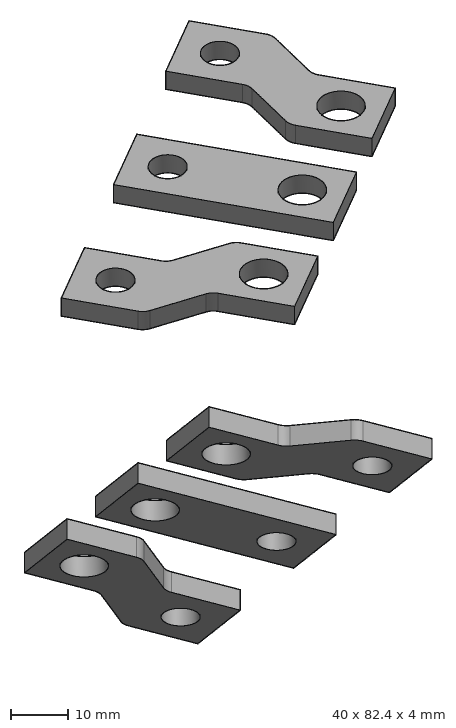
import cadquery as cq

overall_span = 82.4
link_length = 40.0
link_width = 15.0
thickness = 4.0
link_gap = 10.0
bend_run = 9.8
bend_radius = 3.0
small_hole_diameter = 6.8
large_hole_diameter = 8.5
hole_end_distance = 7.75

half_length = link_length / 2
half_width = link_width / 2
half_run = bend_run / 2
hole_x = half_length - hole_end_distance
inner_end_y = link_width + link_gap
outer_end_y = overall_span / 2 - half_width


def drill_holes(body, small_hole_y, large_hole_y):
    """Cut the small hole at the -X end and the large hole at the +X end."""
    small_hole = cq.Workplane("XY").center(-hole_x, small_hole_y).circle(small_hole_diameter / 2)
    large_hole = cq.Workplane("XY").center(hole_x, large_hole_y).circle(large_hole_diameter / 2)
    return body.cut(small_hole.extrude(thickness)).cut(large_hole.extrude(thickness))


def make_straight_link():
    """Rectangular link centred on the X axis."""
    plate = cq.Workplane("XY").rect(link_length, link_width).extrude(thickness)
    return drill_holes(plate, 0, 0)


def make_offset_link(side):
    """Link on the given Y side (+1 or -1), stepping towards the middle at its +X end."""
    left_y = side * outer_end_y
    right_y = side * inner_end_y
    outline = [
        (-half_length, left_y - half_width),
        (-half_run, left_y - half_width),
        (half_run, right_y - half_width),
        (half_length, right_y - half_width),
        (half_length, right_y + half_width),
        (half_run, right_y + half_width),
        (-half_run, left_y + half_width),
        (-half_length, left_y + half_width),
    ]
    plate = cq.Workplane("XY").polyline(outline).close().extrude(thickness)

    bend_zone = cq.selectors.BoxSelector(
        (-half_length / 2, -overall_span, -thickness),
        (half_length / 2, overall_span, 2 * thickness),
    )
    bend_edges = plate.edges("|Z").edges(bend_zone)
    return drill_holes(bend_edges.fillet(bend_radius), left_y, right_y)


straight_link = make_straight_link()
offset_links = [make_offset_link(side) for side in (1, -1)]

result = cq.Compound.makeCompound([straight_link.val(), *[link.val() for link in offset_links]])